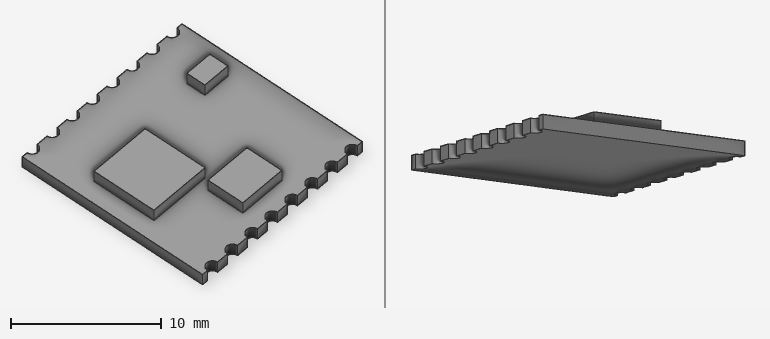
import cadquery as cq

board_side = 16.0
overall_height = 2.0
board_thickness = overall_height / 2
chip_height = overall_height - board_thickness

notches_per_edge = 8
notch_pitch = board_side / notches_per_edge
notch_radius = notch_pitch / 4

small_chip = (-3.4, 5.35, 1.6, 2.3)
medium_chip = (4.78, -0.13, 3.09, 3.9)
large_chip = (-0.3, -3.94, 5.31, 5.12)


def make_board():
    """Square plate with a row of half-round notches on each X edge."""
    plate = cq.Workplane("XY").rect(board_side, board_side).extrude(board_thickness)
    notches = (
        cq.Workplane("XY")
        .rarray(board_side, notch_pitch, 2, notches_per_edge)
        .circle(notch_radius)
        .extrude(board_thickness)
    )
    return plate.cut(notches)


def make_chip(center_x, center_y, size_x, size_y):
    """Rectangular block standing on the board's top face."""
    return (
        cq.Workplane("XY", origin=(center_x, center_y, board_thickness))
        .rect(size_x, size_y)
        .extrude(chip_height)
    )


result = make_board()
for chip in (small_chip, medium_chip, large_chip):
    result = result.union(make_chip(*chip))